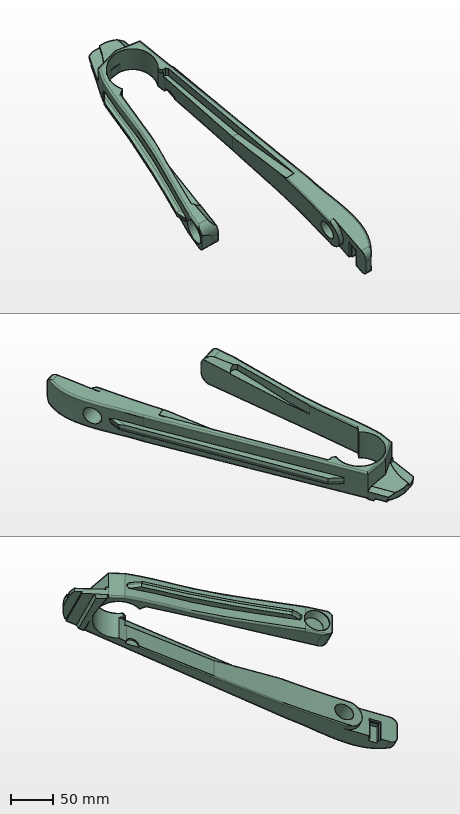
import cadquery as cq
import math

HEIGHT = 40.72
HALF = HEIGHT / 2
RING_RADIUS = 30.7
CUSP_X = 16.5
CUSP_Y = math.sqrt(RING_RADIUS**2 - CUSP_X**2)
EDGE_RADIUS = 2.5
CLEARANCE = 1.0
OVERSIZE = 30.0

LONG_TIP_X = 383.1
LONG_CREST_Y = 93.0
LONG_FACE_Y = 70.2
LONG_PAD_Y = 64.2
LONG_TIP_CORNER = 10.0
PAD_CENTER_X = 315.6
LONG_INNER_NEAR = [(22.8, 30.6), (88.7, 39.7), (140, 46.5)]
LONG_INNER_FAR = [LONG_INNER_NEAR[-1], (163, 49.2), (234, 57.8), (313.5, 63.2)]
LONG_STRAIGHT_END = (249, 81.6)
LONG_OUTER_CURVE = [(291.5, 88.4), (330, LONG_CREST_Y), (353, 91.3), (374.3, 83.4), (LONG_TIP_X, 77.4)]
LONG_HOLE_X = 312.5
LONG_HOLE_RADIUS = 12.0

NOTCH_X = (347.4, 362.0)
NOTCH_TOP_Z = 8.1
NOTCH_STEP = 2.0
NOTCH_DEPTH = 8.0
NOTCH_STEP_DEPTH = 3.0

SHORT_TIP_INNER = (246.7, -47.2)
SHORT_TIP_BEND = (246.7, -56.0)
SHORT_TIP_OUTER = (244.2, -69.0)
SHORT_CORNER = 15.0
SHORT_INNER = [(21, -31.4), (72, -35.6), (163, -41.7), (200, -44.2), SHORT_TIP_INNER]
SHORT_OUTER = [(211, -66.1), (163, -57.5), (75, -44.8), (17.7, -41.2), (-7.2, -38)]
SOCKET_X = 225.0
SOCKET_MOUTH_RADIUS = 16.0
SOCKET_FLOOR_RADIUS = 12.0
SOCKET_DEPTH = 9.5
SOCKET_MOUTH_Y = -67.4
BEVEL_START_X = 203.0
BEVEL_WIDTH = 5.6
BEVEL_DROP = 5.0

NOSE_TOP = (-31.0, 32.2)
NOSE_MIDDLE = (-35.3, -0.5)
NOSE_BOTTOM = (-25.5, -31.6)

OUTER_EDGE_MIDDLES = [
    (109, 56.8), (317.3, 88), (100, -48.5), (227.6, -67.5), (-16.4, -34.8), (-30.4, -16), (-33.1, 15.8),
]
INNER_EDGE_RADIUS = 1.5
INNER_EDGE_MIDDLES = [(238, 57.5), (133.8, -39.7)]

RIB_WIDTH = 9.1
RIB_PEAK = 1.2
RIB_SLOPE_WIDTH = 4.45
LONG_RIB = [(-2.5, 39), (13.5, 49.9), (274.6, 93.2), (291.5, 88)]
LONG_RIB_ROOT = [(249, 78), (0, 36)]
SHORT_RIB_START = (-5, -38.5)
SHORT_RIB_CREST = [(10, -47.7), (72, -52.6), (163, -65), (192.7, -70.2)]
SHORT_RIB_END = (207, -65.7)
SHORT_RIB_ROOT = [(163, -54), (75, -42), (17.7, -38)]

CUSP_TRIM = [(12.0, 28.3), LONG_INNER_NEAR[0], (22.8, 20), (13, 20)]
CUSP_THICKNESS = 6.5
ARCH_X = 31.0
ARCH_Y = 34.0
ARCH_RADIUS = 8.5

LEDGE_DEPTH = 14.0
LONG_LEDGE_START = (20.5, 33.5)
LONG_LEDGE_WALL = [(22.8, 35.8), (234, 69.8)]
LONG_LEDGE_END_X = 235.5
LONG_LEDGE_OPEN_Y = (20, 50)
LONG_RAMP_X = 140.0
SHORT_LEDGE_WALL = [(48, -33), (122.5, -42), (163, -49.3), (201, -55.2)]
SHORT_LEDGE_END = [(205.5, -52), (201, -43)]
SHORT_LEDGE_OPEN_Y = -25.0
SHORT_RAMP_X = 120.0
SHORT_RAMP_END_X = 210.0
SHORT_RAMP_END_DEPTH = 8.0

TONGUE_TIP_X = -66.33
TONGUE_UPPER_CORNER = (-57, 28.3)
TONGUE_TIP = [(-62, 20.5), (TONGUE_TIP_X, 7), (TONGUE_TIP_X, -10), (-63, -18.5)]
TONGUE_ROOT = (-30.5, 0.5)
STRIP_ARC = [(-68, -1), (-47.5, -9), (-28, -23)]
TONGUE_TOP_Z = -4.3
TONGUE_LOW_Z = -8.3
TONGUE_BOTTOM_Z = -13.3
TONGUE_BEVEL_WIDTH = 6.5
TONGUE_BEVEL_DROP = 4.0
TONGUE_STEP_Z = -16.5
TONGUE_STEP_X = -55.0
TONGUE_FOOT_X = -41.0
TONGUE_FOOT_SLOPE = 3.0
FOOT_BEVEL = 3.5


def prism(sketch, bottom, top):
    """Extrude a plan outline between two Z levels."""
    return sketch.extrude(top - bottom).translate((0, 0, bottom))


def body_blank():
    """Ring and both arms as one plan outline at full height, with sharp edges."""
    outline = (
        cq.Workplane("XY")
        .moveTo(*NOSE_TOP)
        .lineTo(*LONG_STRAIGHT_END)
        .spline(LONG_OUTER_CURVE, includeCurrent=True)
        .lineTo(LONG_TIP_X, LONG_FACE_Y)
        .lineTo(PAD_CENTER_X + HALF, LONG_FACE_Y)
        .lineTo(PAD_CENTER_X + HALF, LONG_PAD_Y)
        .spline(LONG_INNER_FAR[::-1], includeCurrent=True)
        .spline(LONG_INNER_NEAR[-2::-1], includeCurrent=True)
        .lineTo(CUSP_X, CUSP_Y)
        .threePointArc((-RING_RADIUS, 0), (CUSP_X, -CUSP_Y))
        .lineTo(*SHORT_INNER[0])
        .spline(SHORT_INNER[1:], includeCurrent=True)
        .lineTo(*SHORT_TIP_BEND)
        .lineTo(*SHORT_TIP_OUTER)
        .lineTo(*SHORT_OUTER[0])
        .spline(SHORT_OUTER[1:], includeCurrent=True)
        .lineTo(*NOSE_BOTTOM)
        .lineTo(*NOSE_MIDDLE)
        .close()
    )
    return prism(outline, -HALF, HALF)


def round_edges(body, middles, radius):
    """Round the top and bottom edges whose middles lie nearest the given plan points."""
    points = [(x, y, z) for x, y in middles for z in (-HALF, HALF)]
    chosen = cq.selectors.NearestToPointSelector(points[0])
    for point in points[1:]:
        chosen = chosen + cq.selectors.NearestToPointSelector(point)
    return body.edges(chosen).fillet(radius)


def round_tip(body, tip_x, corner, center_y):
    """Round the two tip corners of an arm, seen along Y."""
    length = 2 * corner
    width = 2 * OVERSIZE
    block = cq.Workplane("XY").box(length, width, HEIGHT)
    waste = block.cut(block.edges(">X and |Y").fillet(corner))
    return body.cut(waste.translate((tip_x - length / 2, center_y, 0)))


def round_pad(body):
    """Trim the raised pad of the long arm to a half disc."""
    length = HALF + CLEARANCE
    depth = LONG_FACE_Y - LONG_PAD_Y + CLEARANCE
    block = cq.Workplane("XY").box(length, depth, HEIGHT + CLEARANCE).translate(
        (PAD_CENTER_X + length / 2, LONG_FACE_Y - depth / 2, 0)
    )
    disc = cylinder_y(PAD_CENTER_X, LONG_FACE_Y, HALF, -2 * depth)
    return body.cut(block.cut(disc))


def cylinder_y(x, y, radius, length):
    """Cylinder about a line along Y at height zero, starting at y."""
    return cq.Workplane("XZ", origin=(x, y, 0)).circle(radius).extrude(-length)


def rib(plan, crest_points):
    """Rib whose crest peaks at mid height and falls away to both sides."""
    blank = plan.extrude(RIB_WIDTH / 2, both=True)
    for z in (-RIB_WIDTH / 2, RIB_WIDTH / 2):
        near = [cq.selectors.NearestToPointSelector((x, y, z)) for x, y in crest_points]
        edges = [blank.edges(selector).val() for selector in near]
        blank = cq.Workplane(blank.val().chamfer(RIB_SLOPE_WIDTH, RIB_PEAK, edges))
    return blank


def midpoint(start, end):
    """Middle of a straight plan edge."""
    return ((start[0] + end[0]) / 2, (start[1] + end[1]) / 2)


def long_rib():
    """Straight rib of the long arm."""
    plan = cq.Workplane("XY").polyline(LONG_RIB + LONG_RIB_ROOT).close()
    return rib(plan, [midpoint(*pair) for pair in zip(LONG_RIB, LONG_RIB[1:])])


def short_rib():
    """Curved rib of the short arm."""
    plan = (
        cq.Workplane("XY")
        .moveTo(*SHORT_RIB_START)
        .lineTo(*SHORT_RIB_CREST[0])
        .spline(SHORT_RIB_CREST[1:], includeCurrent=True)
        .lineTo(*SHORT_RIB_END)
        .spline(SHORT_RIB_ROOT, includeCurrent=True)
        .close()
    )
    start_middle = midpoint(SHORT_RIB_START, SHORT_RIB_CREST[0])
    end_middle = midpoint(SHORT_RIB_CREST[-1], SHORT_RIB_END)
    return rib(plan, [start_middle, SHORT_RIB_CREST[1], end_middle])


def ledge_cut(plan, ramp_x, end_x, end_depth):
    """Cutter with a vertical side wall, a level floor and a rising ramp."""
    floor = HALF - LEDGE_DEPTH
    side = (
        cq.Workplane("XZ", origin=(0, 2 * LONG_CREST_Y, 0))
        .moveTo(0, HALF + CLEARANCE)
        .lineTo(0, floor)
        .lineTo(ramp_x, floor)
        .lineTo(end_x, HALF - end_depth)
        .lineTo(end_x, HALF + CLEARANCE)
        .close()
        .extrude(4 * LONG_CREST_Y)
    )
    return prism(plan, -HALF, HALF + CLEARANCE).intersect(side)


def long_ledge():
    """Ledge of the long arm, ramping up to the full height."""
    plan = (
        cq.Workplane("XY")
        .moveTo(LONG_LEDGE_START[0], LONG_LEDGE_OPEN_Y[0])
        .lineTo(*LONG_LEDGE_START)
        .lineTo(*LONG_LEDGE_WALL[0])
        .lineTo(*LONG_LEDGE_WALL[-1])
        .lineTo(LONG_LEDGE_END_X, LONG_LEDGE_OPEN_Y[1])
        .close()
    )
    return ledge_cut(plan, LONG_RAMP_X, LONG_LEDGE_END_X, 0)


def short_ledge():
    """Ledge of the short arm, with a rounded end."""
    plan = (
        cq.Workplane("XY")
        .moveTo(*SHORT_LEDGE_WALL[0])
        .spline(SHORT_LEDGE_WALL[1:], includeCurrent=True)
        .threePointArc(*SHORT_LEDGE_END)
        .lineTo(SHORT_LEDGE_WALL[0][0], SHORT_LEDGE_OPEN_Y)
        .close()
    )
    return ledge_cut(plan, SHORT_RAMP_X, SHORT_RAMP_END_X, SHORT_RAMP_END_DEPTH)


def cusp_trim():
    """Below the cusp the gripping face runs straight into the ring."""
    plan = cq.Workplane("XY").polyline(CUSP_TRIM).close()
    return prism(plan, -HALF, HALF - CUSP_THICKNESS)


def arch_recess():
    """Shallow half-round recess at the foot of the long arm's gripping face."""
    arch = cylinder_y(ARCH_X, ARCH_Y - OVERSIZE / 2, ARCH_RADIUS, OVERSIZE / 2)
    return arch.translate((0, 0, -HALF))


def notch():
    """Stepped notch that opens at the underside."""
    left, right = NOTCH_X
    wide = cq.Workplane("XY").box(right - left, NOTCH_STEP_DEPTH, HALF + NOTCH_TOP_Z, centered=False)
    narrow = cq.Workplane("XY").box(
        right - left - 2 * NOTCH_STEP, NOTCH_DEPTH, HALF + NOTCH_TOP_Z - NOTCH_STEP, centered=False
    )
    pocket = wide.union(narrow.translate((NOTCH_STEP, 0, 0)))
    return pocket.translate((left, LONG_FACE_Y, -HALF))


def socket():
    """Conical blind socket in the outer face of the short arm."""
    cone = cq.Solid.makeCone(
        SOCKET_MOUTH_RADIUS, SOCKET_FLOOR_RADIUS, SOCKET_DEPTH,
        cq.Vector(SOCKET_X, SOCKET_MOUTH_Y, 0), cq.Vector(0, 1, 0),
    )
    mouth = cylinder_y(SOCKET_X, SOCKET_MOUTH_Y, SOCKET_MOUTH_RADIUS, -OVERSIZE)
    return mouth.union(cq.Workplane(cone))


def short_tip_bevel():
    """Bevel along the top inner edge near the short tip."""
    inner_y = SHORT_TIP_INNER[1]
    return (
        cq.Workplane("YZ", origin=(BEVEL_START_X, 0, 0))
        .moveTo(inner_y - BEVEL_WIDTH, HALF)
        .lineTo(inner_y + BEVEL_WIDTH, HALF)
        .lineTo(inner_y + BEVEL_WIDTH, HALF - 2 * BEVEL_DROP)
        .close()
        .extrude(2 * OVERSIZE)
    )


def tongue():
    """Tongue plate with its lowered strip, chamfered +Y edge and stepped underside."""
    outline = (
        cq.Workplane("XY")
        .moveTo(*NOSE_TOP)
        .lineTo(*TONGUE_UPPER_CORNER)
        .spline(TONGUE_TIP, includeCurrent=True)
        .lineTo(*NOSE_BOTTOM)
        .lineTo(*TONGUE_ROOT)
        .close()
    )
    elevation = (
        cq.Workplane("XZ", origin=(0, 2 * OVERSIZE, 0))
        .moveTo(TONGUE_TIP_X, TONGUE_TOP_Z)
        .lineTo(TONGUE_TIP_X, TONGUE_BOTTOM_Z)
        .lineTo(TONGUE_STEP_X, TONGUE_BOTTOM_Z)
        .lineTo(TONGUE_STEP_X, TONGUE_STEP_Z)
        .lineTo(TONGUE_FOOT_X, TONGUE_STEP_Z)
        .lineTo(TONGUE_FOOT_X + TONGUE_FOOT_SLOPE, -HALF)
        .lineTo(0, -HALF)
        .lineTo(0, TONGUE_TOP_Z)
        .close()
        .extrude(4 * OVERSIZE)
    )
    blank = prism(outline, -HALF, TONGUE_TOP_Z).intersect(elevation)
    chamfered = blank.edges(">Z").edges(">Y").chamfer(TONGUE_BEVEL_DROP, TONGUE_BEVEL_WIDTH)
    chamfered = chamfered.edges("<Z").edges("<Y").chamfer(FOOT_BEVEL)
    lowered = (
        cq.Workplane("XY")
        .moveTo(*STRIP_ARC[0])
        .threePointArc(*STRIP_ARC[1:])
        .lineTo(STRIP_ARC[-1][0], -2 * OVERSIZE)
        .lineTo(STRIP_ARC[0][0], -2 * OVERSIZE)
        .close()
    )
    return chamfered.cut(prism(lowered, TONGUE_LOW_Z, 0))


body = body_blank()
body = round_edges(body, OUTER_EDGE_MIDDLES, EDGE_RADIUS)
body = round_edges(body, INNER_EDGE_MIDDLES, INNER_EDGE_RADIUS)
body = round_pad(body)
body = round_tip(body, LONG_TIP_X, LONG_TIP_CORNER, LONG_CREST_Y - OVERSIZE / 2)
body = round_tip(body, SHORT_TIP_INNER[0], SHORT_CORNER, SHORT_TIP_OUTER[1])
body = body.union(long_rib()).union(short_rib()).union(tongue())
body = body.cut(cylinder_y(LONG_HOLE_X, 0, LONG_HOLE_RADIUS, 2 * LONG_CREST_Y))
for cutter in (long_ledge, cusp_trim, arch_recess, short_ledge, notch, socket, short_tip_bevel):
    body = body.cut(cutter())

result = body